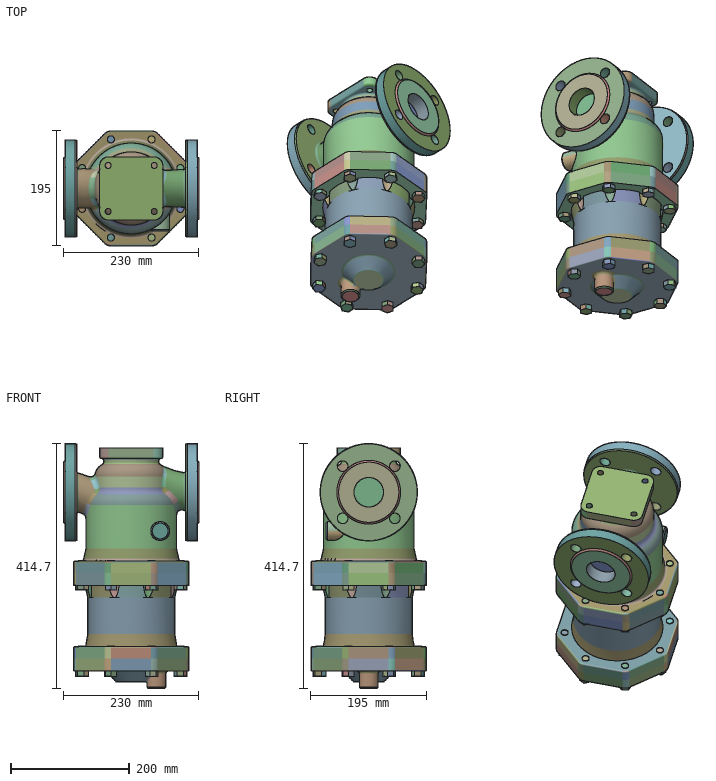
import cadquery as cq
import math


OVERALL_HEIGHT = 414.7

FACE_TO_FACE = 230.0
PIPE_FLANGE_DIA = 165.0
PIPE_FLANGE_THICKNESS = 20.0
PIPE_FLANGE_CHAMFER_LENGTH = 3.0
PIPE_FLANGE_CHAMFER_DEPTH = 1.0
RAISED_FACE_DIA = 102.0
RAISED_FACE_ROOT_DIA = 108.0
RAISED_FACE_HEIGHT = 3.0
PIPE_BOLT_CIRCLE_DIA = 125.0
PIPE_BOLT_HOLE_DIA = 18.0
PIPE_BOLT_COUNT = 4
PORT_DIA = 50.0
PORT_DEPTH = 24.0

NECK_START = FACE_TO_FACE / 2 - RAISED_FACE_HEIGHT - PIPE_FLANGE_THICKNESS
INLET_NECK = [(NECK_START, 0.0, 32.5), (78.0, -4.5, 33.5), (50.0, -15.0, 32.0)]
OUTLET_NECK = [(NECK_START, 1.0, 32.0), (72.0, 6.0, 31.5), (45.0, 18.0, 30.0)]
NECK_FLANGE_FILLET = 3.0
NECK_BODY_FILLET = 8.0

PLATE_SIDE = 107.0
PLATE_CORNER_RADIUS = 15.0
PLATE_TOP = 75.0
PLATE_THICKNESS = 18.0
PLATE_BOTTOM = PLATE_TOP - PLATE_THICKNESS
PLATE_EDGE_FILLET = 3.0
PLATE_NECK_FILLET = 3.0
PLATE_HOLE_DIA = 10.11
PLATE_HOLE_SPACING = 78.0

NECK_RADIUS = 94.0 / 2
CROWN_NECK_FILLET = 3.0
CROWN_RADIUS = 62.0
CROWN_ARC_RADIUS = 24.0
CROWN_ARC_BASE = 26.0
NECK_BOTTOM = CROWN_ARC_BASE + math.sqrt(
    CROWN_ARC_RADIUS**2 - (NECK_RADIUS - CROWN_RADIUS + CROWN_ARC_RADIUS) ** 2
)
WAIST_ARC_TOP = 7.5
UPPER_RADIUS = 154.0 / 2
SHOULDER_ARC_RADIUS = 23.0
SHOULDER_ARC_BASE = -22.3
UPPER_SKIRT_TOP = -96.0
UPPER_SKIRT_RADIUS = 80.7
SKIRT_FILLET = 4.0

OCTAGON_FLATS = 195.0
OCTAGON_CORNER_RADIUS = 15.0
OCTAGON_HALF_THICKNESS = 20.7
UPPER_JOINT = -137.2
LOWER_JOINT = -282.1
UPPER_EDGE_FILLET = 2.5
LOWER_EDGE_FILLET = 2.0
BOTTOM_EDGE_FILLET = 1.5

BOLT_COUNT = 8
BOLT_CIRCLE_RADIUS = 90.0
BOLT_DIA = 12.0
BOLT_STICK_OUT = 1.2
HEAD_FLATS = 19.0
UPPER_HEAD_HEIGHT = 7.5
LOWER_HEAD_HEIGHT = 9.0
HEAD_RELIEF_DIA = 32.0

MIDDLE_RADIUS = 148.0 / 2
MIDDLE_TOP_RADIUS = 78.0
MIDDLE_BOTTOM_RADIUS = 77.4
MIDDLE_TOP_CONE_END = -178.6
MIDDLE_BOTTOM_CONE_START = -240.7

BOSS_BOTTOM_RADIUS = 25.6
BOSS_BOTTOM = -321.2
BOSS_EDGE_FILLET = 2.0
STUB_ROOT_FILLET = 5.0
DRAIN_DIA = 32.0
DRAIN_X = 42.5
DRAIN_BOTTOM = PIPE_FLANGE_DIA / 2 - OVERALL_HEIGHT
DRAIN_END_CHAMFER = 2.0
DRAIN_BOSS_FILLET = 3.0

SIDE_BOSS_DIA = 32.0
SIDE_BOSS_X = 49.0
SIDE_BOSS_Z = -65.7
SIDE_BOSS_FACE_Y = -72.0
SIDE_BOSS_CHAMFER = 2.5

UPPER_FLANGE_TOP = UPPER_JOINT + OCTAGON_HALF_THICKNESS
UPPER_FLANGE_BOTTOM = UPPER_JOINT - OCTAGON_HALF_THICKNESS
LOWER_FLANGE_TOP = LOWER_JOINT + OCTAGON_HALF_THICKNESS
LOWER_FLANGE_BOTTOM = LOWER_JOINT - OCTAGON_HALF_THICKNESS
BOSS_HEIGHT = LOWER_FLANGE_BOTTOM - BOSS_BOTTOM
BOSS_TOP_RADIUS = BOSS_BOTTOM_RADIUS + BOSS_HEIGHT

SELECT_MARGIN = 0.1


def circle_point(centre, radius, angle):
    """Point on a circle in the (radius, height) plane; the angle is in radians."""
    return (centre[0] + radius * math.cos(angle), centre[1] + radius * math.sin(angle))


def level_edges(height, reach):
    """Selector for the edges lying at one height within a square around the body axis."""
    outer = reach + SELECT_MARGIN
    return cq.selectors.BoxSelector(
        (-outer, -outer, height - SELECT_MARGIN),
        (outer, outer, height + SELECT_MARGIN),
        boundingbox=True,
    )


def turned(shape, angle):
    """Shape turned about the body axis by an angle in degrees."""
    return shape.rotate((0, 0, 0), (0, 0, 1), angle)


def upper_body():
    """Turned upper body: neck, rounded crown, waist, rounded shoulder and skirt."""
    crown_centre = (CROWN_RADIUS - CROWN_ARC_RADIUS, CROWN_ARC_BASE)
    crown_end = (NECK_RADIUS, NECK_BOTTOM)
    crown_end_angle = math.acos((NECK_RADIUS - crown_centre[0]) / CROWN_ARC_RADIUS)
    crown_mid = circle_point(crown_centre, CROWN_ARC_RADIUS, crown_end_angle / 2)

    step = UPPER_RADIUS - CROWN_RADIUS
    rise = WAIST_ARC_TOP - SHOULDER_ARC_BASE
    waist_arc_radius = (step**2 + rise**2) / (2 * step) - SHOULDER_ARC_RADIUS
    shoulder_centre = (UPPER_RADIUS - SHOULDER_ARC_RADIUS, SHOULDER_ARC_BASE)
    waist_centre = (CROWN_RADIUS + waist_arc_radius, WAIST_ARC_TOP)
    tangent_angle = math.atan2(rise, waist_centre[0] - shoulder_centre[0])
    tangent_point = circle_point(shoulder_centre, SHOULDER_ARC_RADIUS, tangent_angle)
    waist_mid = circle_point(waist_centre, waist_arc_radius, math.pi + tangent_angle / 2)
    shoulder_mid = circle_point(shoulder_centre, SHOULDER_ARC_RADIUS, tangent_angle / 2)

    skirt_bottom = UPPER_FLANGE_TOP + SKIRT_FILLET
    skirt_end_radius = UPPER_SKIRT_RADIUS + SKIRT_FILLET
    hollow_mid = circle_point((skirt_end_radius, skirt_bottom), SKIRT_FILLET, math.radians(225))

    return (
        cq.Workplane("XZ")
        .moveTo(0, PLATE_BOTTOM)
        .lineTo(NECK_RADIUS, PLATE_BOTTOM)
        .lineTo(*crown_end)
        .threePointArc(crown_mid, (CROWN_RADIUS, CROWN_ARC_BASE))
        .lineTo(CROWN_RADIUS, WAIST_ARC_TOP)
        .threePointArc(waist_mid, tangent_point)
        .threePointArc(shoulder_mid, (UPPER_RADIUS, SHOULDER_ARC_BASE))
        .lineTo(UPPER_RADIUS, UPPER_SKIRT_TOP)
        .lineTo(UPPER_SKIRT_RADIUS, skirt_bottom)
        .threePointArc(hollow_mid, (skirt_end_radius, UPPER_FLANGE_TOP))
        .lineTo(skirt_end_radius, UPPER_JOINT)
        .lineTo(0, UPPER_JOINT)
        .close()
        .revolve(360, (0, 0), (0, 1))
    )


def pipe_neck(sections, side):
    """Neck lofted through circles from the flange into the body; side is -1 or +1 along X."""
    neck = cq.Workplane("YZ")
    previous_x = 0.0
    for distance, height, radius in sections:
        x = side * distance
        neck = neck.workplane(offset=x - previous_x)
        neck = neck.center(0, height).circle(radius).center(0, -height)
        previous_x = x
    return neck.loft()


def pipe_flange():
    """Pipe flange with raised face and bolt holes, facing +X."""
    face_root = FACE_TO_FACE / 2 - RAISED_FACE_HEIGHT
    flange = (
        cq.Workplane("YZ", origin=(NECK_START, 0, 0))
        .circle(PIPE_FLANGE_DIA / 2)
        .extrude(PIPE_FLANGE_THICKNESS)
        .faces("<X").edges().chamfer(PIPE_FLANGE_CHAMFER_LENGTH, PIPE_FLANGE_CHAMFER_DEPTH)
    )
    raised_face = (
        cq.Workplane("YZ", origin=(face_root, 0, 0))
        .circle(RAISED_FACE_ROOT_DIA / 2)
        .workplane(offset=RAISED_FACE_HEIGHT)
        .circle(RAISED_FACE_DIA / 2)
        .loft()
    )
    bolt_holes = (
        cq.Workplane("YZ", origin=(NECK_START, 0, 0))
        .polarArray(PIPE_BOLT_CIRCLE_DIA / 2, 180 / PIPE_BOLT_COUNT, 360, PIPE_BOLT_COUNT)
        .circle(PIPE_BOLT_HOLE_DIA / 2)
        .extrude(PIPE_FLANGE_THICKNESS)
    )
    return flange.union(raised_face).cut(bolt_holes)


def port():
    """Blind pipe bore, entering from the +X flange face."""
    return (
        cq.Workplane("YZ", origin=(FACE_TO_FACE / 2 - PORT_DEPTH, 0, 0))
        .circle(PORT_DIA / 2)
        .extrude(PORT_DEPTH)
    )


def top_plate():
    """Square top plate with rounded corners and four through holes."""
    plate = (
        cq.Workplane("XY", origin=(0, 0, PLATE_BOTTOM))
        .rect(PLATE_SIDE, PLATE_SIDE)
        .extrude(PLATE_THICKNESS)
        .edges("|Z").fillet(PLATE_CORNER_RADIUS)
        .faces("<Z").edges().fillet(PLATE_EDGE_FILLET)
    )
    return (
        plate.faces(">Z").workplane()
        .rect(PLATE_HOLE_SPACING, PLATE_HOLE_SPACING, forConstruction=True)
        .vertices()
        .hole(PLATE_HOLE_DIA)
    )


def octagon(bottom):
    """One half of an octagonal flange pair, with flats facing X and Y."""
    across_corners = OCTAGON_FLATS / math.cos(math.pi / BOLT_COUNT)
    return (
        cq.Workplane("XY", origin=(0, 0, bottom))
        .polygon(BOLT_COUNT, across_corners)
        .extrude(OCTAGON_HALF_THICKNESS)
        .rotate((0, 0, 0), (0, 0, 1), 180 / BOLT_COUNT)
        .edges("|Z").fillet(OCTAGON_CORNER_RADIUS)
    )


def around_bolt_circle(feature):
    """Repeat a feature made at the first bolt position around the body axis."""
    ring = cq.Workplane("XY")
    pitch = 360 / BOLT_COUNT
    for index in range(BOLT_COUNT):
        ring = ring.add(turned(feature, index * pitch))
    return ring.combine()


def first_bolt_plane(height):
    """Horizontal workplane centred on the first bolt."""
    angle = math.pi / BOLT_COUNT
    x = BOLT_CIRCLE_RADIUS * math.cos(angle)
    y = -BOLT_CIRCLE_RADIUS * math.sin(angle)
    return cq.Workplane("XY", origin=(x, y, height))


def bolts(flange_top, flange_bottom, head_height):
    """Hexagon bolts entered from below, their ends standing proud of the flange top."""
    head_corners = HEAD_FLATS / math.cos(math.pi / 6)
    head = first_bolt_plane(flange_bottom - head_height).polygon(6, head_corners).extrude(head_height)
    shank_length = flange_top + BOLT_STICK_OUT - flange_bottom
    shank = first_bolt_plane(flange_bottom).circle(BOLT_DIA / 2).extrude(shank_length)
    return around_bolt_circle(head.union(shank))


def middle_body():
    """Turned middle body with a cone at each end, relieved around the upper bolt heads."""
    body = (
        cq.Workplane("XZ")
        .moveTo(0, UPPER_FLANGE_BOTTOM)
        .lineTo(MIDDLE_TOP_RADIUS, UPPER_FLANGE_BOTTOM)
        .lineTo(MIDDLE_RADIUS, MIDDLE_TOP_CONE_END)
        .lineTo(MIDDLE_RADIUS, MIDDLE_BOTTOM_CONE_START)
        .lineTo(MIDDLE_BOTTOM_RADIUS, LOWER_FLANGE_TOP)
        .lineTo(0, LOWER_FLANGE_TOP)
        .close()
        .revolve(360, (0, 0), (0, 1))
    )
    relief_height = UPPER_FLANGE_BOTTOM - MIDDLE_TOP_CONE_END
    relief = first_bolt_plane(MIDDLE_TOP_CONE_END).circle(HEAD_RELIEF_DIA / 2).extrude(relief_height)
    return body.cut(around_bolt_circle(relief))


def bottom_cover():
    """Lower half of the lower flange pair with the bottom boss and the drain pipe."""
    cover = octagon(LOWER_FLANGE_BOTTOM).faces("<Z").edges().fillet(BOTTOM_EDGE_FILLET)
    boss = (
        cq.Workplane("XZ")
        .moveTo(0, LOWER_FLANGE_BOTTOM)
        .lineTo(-BOSS_TOP_RADIUS, LOWER_FLANGE_BOTTOM)
        .lineTo(-BOSS_BOTTOM_RADIUS, BOSS_BOTTOM)
        .lineTo(0, BOSS_BOTTOM)
        .close()
        .revolve(360, (0, 0), (0, 1))
    )
    drain = (
        cq.Workplane("XY", origin=(DRAIN_X, 0, LOWER_FLANGE_BOTTOM))
        .circle(DRAIN_DIA / 2)
        .extrude(DRAIN_BOTTOM - LOWER_FLANGE_BOTTOM)
        .faces("<Z").chamfer(DRAIN_END_CHAMFER)
    )
    stubs = boss.union(drain)
    stubs = stubs.edges(level_edges(BOSS_BOTTOM, BOSS_BOTTOM_RADIUS)).fillet(BOSS_EDGE_FILLET)
    cover = cover.union(stubs)
    root_reach = DRAIN_X + DRAIN_DIA / 2
    cover = cover.edges(level_edges(LOWER_FLANGE_BOTTOM, root_reach)).fillet(STUB_ROOT_FILLET)

    crossing = cq.selectors.BoxSelector(
        (BOSS_BOTTOM_RADIUS, -DRAIN_DIA / 2, BOSS_BOTTOM),
        (DRAIN_X, DRAIN_DIA / 2, LOWER_FLANGE_BOTTOM - SELECT_MARGIN),
        boundingbox=True,
    )
    return cover.edges("%BSPLINE").edges(crossing).fillet(DRAIN_BOSS_FILLET)


def side_boss():
    """Round boss on the upper body with a chamfered face."""
    return (
        cq.Workplane("XZ", origin=(SIDE_BOSS_X, 0, SIDE_BOSS_Z))
        .circle(SIDE_BOSS_DIA / 2)
        .extrude(-SIDE_BOSS_FACE_Y)
        .faces("<Y").chamfer(SIDE_BOSS_CHAMFER)
    )


def neck_root_edges(side):
    """Selector for the curves where a neck meets the body."""
    near = NECK_RADIUS * side
    far = (NECK_START - SELECT_MARGIN) * side
    reach = UPPER_RADIUS
    return cq.selectors.BoxSelector((near, -reach, -reach), (far, reach, reach), boundingbox=True)


def flange_root_edges():
    """Selector for the circles where the necks meet the pipe flanges."""
    reach = RAISED_FACE_DIA / 2
    ends = []
    for x in (-NECK_START, NECK_START):
        low = (x - SELECT_MARGIN, -reach, -reach)
        high = (x + SELECT_MARGIN, reach, reach)
        ends.append(cq.selectors.BoxSelector(low, high, boundingbox=True))
    return ends[0] + ends[1]


def upper_casting():
    """Upper body with its top plate, both pipe connections, side boss and flange half."""
    casting = turned(upper_body(), 90).union(top_plate())
    widest = cq.selectors.RadiusNthSelector(-1)
    plate_root = level_edges(PLATE_BOTTOM, NECK_RADIUS)
    crown_root = level_edges(NECK_BOTTOM, NECK_RADIUS)
    casting = casting.edges(plate_root).edges(widest).fillet(PLATE_NECK_FILLET)
    casting = casting.edges(crown_root).edges(widest).fillet(CROWN_NECK_FILLET)

    for sections, side in ((INLET_NECK, -1), (OUTLET_NECK, 1)):
        casting = casting.union(pipe_neck(sections, side))
        casting = casting.edges("%BSPLINE").edges(neck_root_edges(side)).fillet(NECK_BODY_FILLET)

    for angle in (0, 180):
        casting = casting.union(turned(pipe_flange(), angle))
        casting = casting.cut(turned(port(), angle))
    casting = casting.edges(flange_root_edges()).fillet(NECK_FLANGE_FILLET)

    flange_half = octagon(UPPER_JOINT).faces(">Z").edges().fillet(UPPER_EDGE_FILLET)
    return casting.union(side_boss()).union(flange_half)


def middle_casting():
    """Middle body with a flange half at each end."""
    flange_half = octagon(LOWER_JOINT).faces(">Z").edges().fillet(LOWER_EDGE_FILLET)
    return middle_body().union(octagon(UPPER_FLANGE_BOTTOM)).union(flange_half)


result = (
    upper_casting()
    .union(middle_casting(), clean=False)
    .union(bottom_cover(), clean=False)
    .union(bolts(UPPER_FLANGE_TOP, UPPER_FLANGE_BOTTOM, UPPER_HEAD_HEIGHT), clean=False)
    .union(bolts(LOWER_FLANGE_TOP, LOWER_FLANGE_BOTTOM, LOWER_HEAD_HEIGHT), clean=False)
)